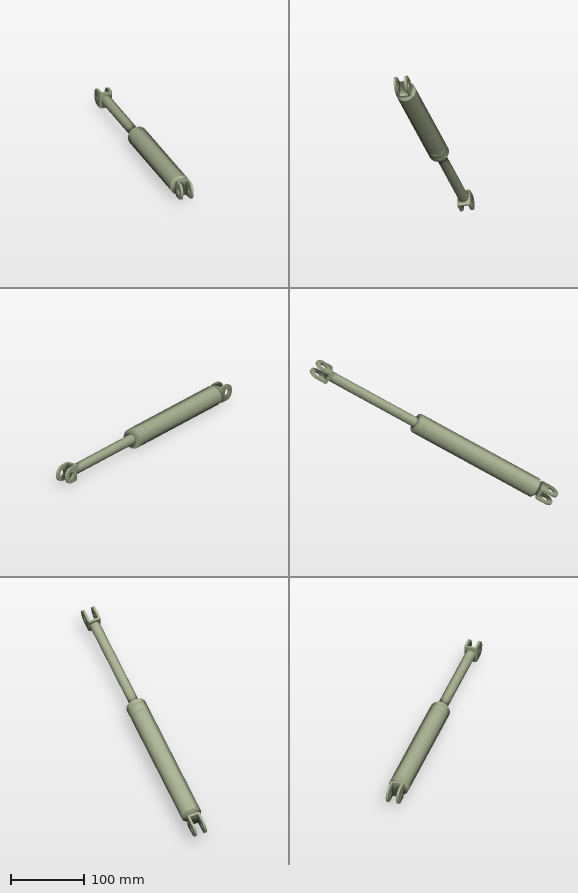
import cadquery as cq

LENGTH = 391.0
HALF_LENGTH = LENGTH / 2

FORK_LENGTH = 26.5
FORK_HEIGHT = 22.5
FORK_WIDTH = 18.0
FORK_WALL = 3.0
WEB_THICKNESS = 3.0
BEND_RADIUS = 2.7
EYE_DIAMETER = 10.0
EYE_OFFSET = FORK_HEIGHT / 2

CYLINDER_RADIUS = 14.0
CYLINDER_START = -30.0
NOSE_RADIUS = 13.0
NOSE_LENGTH = 2.0
SHOULDER_START = 163.5
NECK_RADIUS = 7.0
CYLINDER_END = HALF_LENGTH - FORK_LENGTH
NECK_END = CYLINDER_END + WEB_THICKNESS

GROOVE_WIDTH = 1.0
GROOVE_CENTRES = (-22.3, -9.5, SHOULDER_START - GROOVE_WIDTH / 2)
GROOVE_DEPTH = 0.5

ROD_RADIUS = 7.0
ROD_INSERTION = 19.5
ROD_START = -HALF_LENGTH + FORK_LENGTH - WEB_THICKNESS
ROD_END = CYLINDER_START + ROD_INSERTION


def rod_bar():
    """Round bar shared by the rod and the bore it fits."""
    return cq.Workplane("YZ", origin=(ROD_START, 0, 0)).circle(ROD_RADIUS).extrude(ROD_END - ROD_START)


def make_left_fork():
    """U-shaped fork opening toward -X, with round ears and a cross hole."""
    eye_x = -HALF_LENGTH + EYE_OFFSET
    web_x = -HALF_LENGTH + FORK_LENGTH
    outline = (
        cq.Workplane("XZ", origin=(0, FORK_WIDTH / 2, 0))
        .moveTo(web_x, -FORK_HEIGHT / 2)
        .lineTo(web_x, FORK_HEIGHT / 2)
        .lineTo(eye_x, FORK_HEIGHT / 2)
        .threePointArc((-HALF_LENGTH, 0), (eye_x, -FORK_HEIGHT / 2))
        .close()
        .extrude(FORK_WIDTH)
    )
    bent = outline.edges("|Z and >X").fillet(BEND_RADIUS)
    slot = cq.Workplane("XY").box(
        FORK_LENGTH - WEB_THICKNESS, FORK_WIDTH - 2 * FORK_WALL, FORK_HEIGHT, centered=(False, True, True)
    ).translate((-HALF_LENGTH, 0, 0))
    eye = (
        cq.Workplane("XZ", origin=(eye_x, FORK_WIDTH / 2, 0))
        .circle(EYE_DIAMETER / 2)
        .extrude(FORK_WIDTH)
    )
    return bent.cut(slot).cut(eye)


def make_rod():
    """Piston rod with its fork."""
    return make_left_fork().union(rod_bar())


def groove_ring(centre):
    """Ring of material removed for one shallow groove."""
    return (
        cq.Workplane("YZ", origin=(centre - GROOVE_WIDTH / 2, 0, 0))
        .circle(CYLINDER_RADIUS)
        .circle(CYLINDER_RADIUS - GROOVE_DEPTH)
        .extrude(GROOVE_WIDTH)
    )


def make_cylinder():
    """Cylinder with a stepped nose, a tapered shoulder, three grooves, a rod bore and its fork."""
    barrel = (
        cq.Workplane("XY")
        .moveTo(CYLINDER_START, 0)
        .lineTo(CYLINDER_START, NOSE_RADIUS)
        .lineTo(CYLINDER_START + NOSE_LENGTH, NOSE_RADIUS)
        .lineTo(CYLINDER_START + NOSE_LENGTH, CYLINDER_RADIUS)
        .lineTo(SHOULDER_START, CYLINDER_RADIUS)
        .lineTo(CYLINDER_END, NECK_RADIUS)
        .lineTo(NECK_END, NECK_RADIUS)
        .lineTo(NECK_END, 0)
        .close()
        .revolve(360, (0, 0, 0), (1, 0, 0))
    )
    for centre in GROOVE_CENTRES:
        barrel = barrel.cut(groove_ring(centre))
    return barrel.union(make_left_fork().mirror("YZ")).cut(rod_bar())


rod = make_rod()
cylinder = make_cylinder()

result = cq.Compound.makeCompound([rod.val(), cylinder.val()])